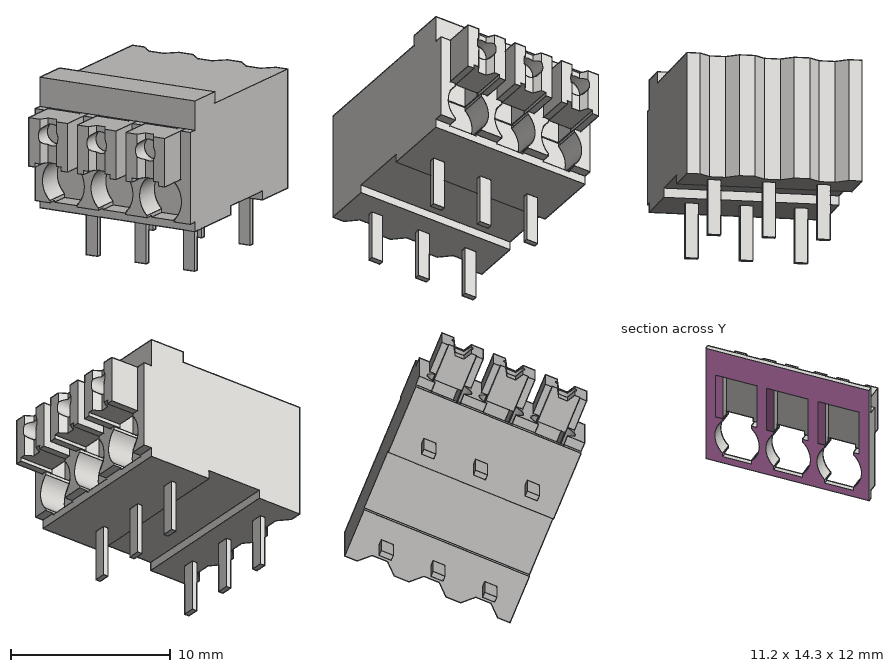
import cadquery as cq


pole_count = 3
pole_pitch = 3.5
pole_positions = [(i - (pole_count - 1) / 2) * pole_pitch for i in range(pole_count)]

housing_width = 11.2
housing_depth = 11.7
housing_height = 8.5
bar_depth = 2.5
bar_rise = 0.75
nose_length = 0.59
nose_bottom = 0.61
foot_gap_start = 4.53
foot_gap_length = 3.96
foot_gap_height = 0.59

back_notch_mouth = 2.5
back_notch_floor = 1.03
back_notch_depth = 0.69

lever_width = 2.8
lever_bottom = 3.43
lever_top = 6.59
lever_reach = 2.6
lever_back = -0.17
lever_arm_width = 0.51
slot_back = 1.2
groove_mouth = 1.19
groove_floor = 0.59
groove_depth = 0.51
test_hole_diameter = 1.42
test_hole_height = 5.52
test_hole_depth = 1.15
relief_width = 1.89
relief_height = 0.26

opening_offset = -0.05
opening_bulge_width = 3.02
opening_bulge_height = 2.46
opening_height = 1.99
opening_neck_width = 1.96
opening_floor = 0.51
opening_depth = 1.86

pin_width = 0.82
pin_thickness = 0.35
pin_length = 3.5
pin_offset = 0.03
front_pin_row = 3.03
pin_row_spacing = 6.99


def box(x_center, width, y_start, y_end, z_start, z_end):
    """Box centred on x_center that spans the given Y and Z ranges."""
    block = cq.Workplane("XY").box(width, y_end - y_start, z_end - z_start, centered=(True, False, False))
    return block.translate((x_center, y_start, z_start))


def trapezoid_groove(x_center, y_face, mouth, floor, depth):
    """Full-height groove that narrows from its mouth at y_face; a positive depth runs toward +Y."""
    outline = cq.Workplane("XY").polyline([
        (x_center - mouth / 2, y_face),
        (x_center + mouth / 2, y_face),
        (x_center + floor / 2, y_face + depth),
        (x_center - floor / 2, y_face + depth),
    ])
    return outline.close().extrude(housing_height)


def make_housing_body():
    """Side outline with the top bar, the nose and the gap between the feet, extruded along X."""
    foot_gap_end = foot_gap_start + foot_gap_length
    body_top = housing_height - bar_rise
    outline = cq.Workplane("YZ").polyline([
        (0, 0),
        (foot_gap_start, 0),
        (foot_gap_start, foot_gap_height),
        (foot_gap_end, foot_gap_height),
        (foot_gap_end, 0),
        (housing_depth, 0),
        (housing_depth, body_top),
        (bar_depth, body_top),
        (bar_depth, housing_height),
        (0, housing_height),
        (0, lever_top),
        (-nose_length, lever_top),
        (-nose_length, nose_bottom),
        (0, nose_bottom),
    ])
    return outline.close().extrude(housing_width / 2, both=True)


def make_wire_opening(x_center):
    """Blind opening with straight sides at top and bottom and a bulge on each side between them."""
    x_opening = x_center + opening_offset
    half_neck = opening_neck_width / 2
    half_bulge = opening_bulge_width / 2
    bulge_bottom = opening_height - opening_bulge_height / 2
    bulge_top = opening_height + opening_bulge_height / 2
    outline = (
        cq.Workplane("XZ", origin=(x_opening, -nose_length, 0))
        .moveTo(-half_neck, opening_floor)
        .lineTo(half_neck, opening_floor)
        .lineTo(half_neck, bulge_bottom)
        .threePointArc((half_bulge, opening_height), (half_neck, bulge_top))
        .lineTo(half_neck, lever_bottom)
        .lineTo(-half_neck, lever_bottom)
        .lineTo(-half_neck, bulge_top)
        .threePointArc((-half_bulge, opening_height), (-half_neck, bulge_bottom))
        .close()
    )
    return outline.extrude(-opening_depth)


def make_housing():
    housing = make_housing_body()
    for x in pole_positions:
        housing = housing.cut(box(x, lever_width, -nose_length, slot_back, lever_bottom, lever_top))
        housing = housing.cut(make_wire_opening(x))
        housing = housing.cut(
            trapezoid_groove(x, housing_depth, back_notch_mouth, back_notch_floor, -back_notch_depth)
        )
    return housing


def make_lever(x_center):
    """Push lever: a block in front and an arm along its +X side that reaches the back of the slot."""
    lever = box(x_center, lever_width, -lever_reach, lever_back, lever_bottom, lever_top)
    arm_x = x_center + (lever_width - lever_arm_width) / 2
    lever = lever.union(box(arm_x, lever_arm_width, lever_back, slot_back, lever_bottom, lever_top))
    lever = lever.cut(trapezoid_groove(x_center, -lever_reach, groove_mouth, groove_floor, groove_depth))
    test_hole = (
        cq.Workplane("XZ", origin=(x_center, -lever_reach, test_hole_height))
        .circle(test_hole_diameter / 2)
        .extrude(-test_hole_depth)
    )
    relief_top = lever_bottom + relief_height
    relief = box(x_center, relief_width, -lever_reach, lever_back, lever_bottom, relief_top)
    return lever.cut(test_hole).cut(relief)


def make_pin(x_center, y_center):
    """Flat solder pin that hangs from the underside of the housing."""
    half_thickness = pin_thickness / 2
    return box(x_center, pin_width, y_center - half_thickness, y_center + half_thickness, -pin_length, 0)


housing = make_housing()
levers = [make_lever(x) for x in pole_positions]
pin_rows = [front_pin_row, front_pin_row + pin_row_spacing]
pins = [make_pin(x + pin_offset, y) for x in pole_positions for y in pin_rows]

result = cq.Compound.makeCompound([
    housing.val(),
    *[lever.val() for lever in levers],
    *[pin.val() for pin in pins],
])